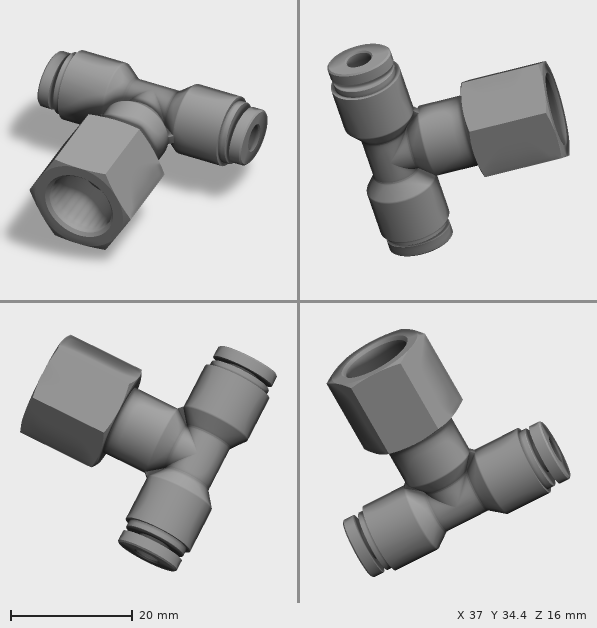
import cadquery as cq
import math


ARM_RADIUS = 5.95
ARM_LENGTH = 14.43
WAIST_RADIUS = 4.0
WAIST_HALF_LENGTH = 3.92
SHOULDER = 6.5
BLEND_RADIUS = 0.48
WEB_THICKNESS = 1.45

RING_DIAMETER = 10.6
RING_WIDTH = 1.22
RING_BORE = 4.18
RING_CHAMFER = 0.07

COLLET_BORE = 4.2
COLLET_NECK_DIAMETER = 5.5
COLLET_GAP = 0.8
COLLET_TIP = 18.5
FLANGE_HEIGHT = 8.77
FLANGE_DEPTH = 10.88
COLLET_CHAMFER = 0.25

NUT_FLATS = 16.0
NUT_LENGTH = 14.05
NUT_CORNERS = NUT_FLATS / math.cos(math.radians(30))
FRONT_CHAMFER_HEIGHT = 0.4
BACK_CHAMFER_HEIGHT = 0.5
SOCKET_MOUTH = 12.35
SOCKET_DIAMETER = 11.3
SOCKET_FLOOR_DIAMETER = 10.7
SOCKET_DEPTH = 11.1
MOUTH_CHAMFER = (SOCKET_MOUTH - SOCKET_DIAMETER) / 2
NUT_HOLE = 3.0

RING_FACE = ARM_LENGTH + RING_WIDTH
FLANGE_BACK = RING_FACE + COLLET_GAP


def make_arm():
    """Arm along +X from the origin, with a rounded cone between waist and barrel."""
    cone_angle = math.atan2(ARM_RADIUS - WAIST_RADIUS, SHOULDER - WAIST_HALF_LENGTH)
    tangent = BLEND_RADIUS * math.tan(cone_angle / 2)
    along = tangent * math.cos(cone_angle)
    outward = tangent * math.sin(cone_angle)
    arc_start_to_middle = BLEND_RADIUS * math.sin(cone_angle / 2)
    arc_middle_height = BLEND_RADIUS * (1 - math.cos(cone_angle / 2))
    waist_end = WAIST_HALF_LENGTH - tangent
    barrel_start = SHOULDER + tangent
    profile = (
        cq.Workplane("XY")
        .lineTo(0, WAIST_RADIUS)
        .lineTo(waist_end, WAIST_RADIUS)
        .threePointArc(
            (waist_end + arc_start_to_middle, WAIST_RADIUS + arc_middle_height),
            (WAIST_HALF_LENGTH + along, WAIST_RADIUS + outward),
        )
        .lineTo(SHOULDER - along, ARM_RADIUS - outward)
        .threePointArc(
            (barrel_start - arc_start_to_middle, ARM_RADIUS - arc_middle_height),
            (barrel_start, ARM_RADIUS),
        )
        .lineTo(ARM_LENGTH, ARM_RADIUS)
        .lineTo(ARM_LENGTH, 0)
        .close()
    )
    return profile.revolve(360, (0, 0, 0), (1, 0, 0)), barrel_start


def make_tee():
    """Three arms, with a web filling each corner between run and stem."""
    arm, barrel_start = make_arm()
    tee = arm
    for angle in (-90, 180):
        tee = tee.union(arm.rotate((0, 0, 0), (0, 0, 1), angle))
    web = (
        cq.Workplane("XY")
        .polyline([
            (0, 0),
            (barrel_start, -ARM_RADIUS),
            (ARM_RADIUS, -barrel_start),
        ])
        .close()
        .extrude(WEB_THICKNESS / 2, both=True)
    )
    return tee.union(web).union(web.mirror("YZ"))


def outer_face(side):
    """Selector for the end face that points away from the tee."""
    return ">X" if side > 0 else "<X"


def run_cylinder(side, diameter, start, end):
    """Cylinder on the run axis between two distances from the stem; side is -1 or +1 along X."""
    return (
        cq.Workplane("YZ", origin=(side * start, 0, 0))
        .circle(diameter / 2)
        .extrude(side * (end - start))
    )


def make_ring(side):
    """Ring on the end of one run arm, with its bore continuing the collet's."""
    blank = run_cylinder(side, RING_DIAMETER, ARM_LENGTH, RING_FACE)
    bore = run_cylinder(side, RING_BORE, ARM_LENGTH, RING_FACE)
    return blank.faces(outer_face(side)).chamfer(RING_CHAMFER).cut(bore)


def make_collet(side):
    """Release collet: a neck standing on the ring, an oval flange and a bore."""
    neck = run_cylinder(side, COLLET_NECK_DIAMETER, RING_FACE, FLANGE_BACK)
    flange = (
        cq.Workplane("YZ", origin=(side * FLANGE_BACK, 0, 0))
        .ellipse(FLANGE_DEPTH / 2, FLANGE_HEIGHT / 2)
        .extrude(side * (COLLET_TIP - FLANGE_BACK))
    )
    bore = run_cylinder(side, COLLET_BORE, RING_FACE, COLLET_TIP)
    return neck.union(flange).cut(bore).faces(outer_face(side)).chamfer(COLLET_CHAMFER)


def make_nut():
    """Hexagonal nut on the stem: chamfered corners, a tapered socket and a hole in its floor."""
    back = -ARM_LENGTH
    front = back - NUT_LENGTH
    flat_radius = NUT_FLATS / 2
    corner_radius = NUT_CORNERS / 2
    hexagon = (
        cq.Workplane("XZ", origin=(0, back, 0))
        .polygon(6, NUT_CORNERS)
        .extrude(NUT_LENGTH)
    )
    chamfer_envelope = (
        cq.Workplane("XY")
        .polyline([
            (0, back),
            (flat_radius, back),
            (corner_radius, back - BACK_CHAMFER_HEIGHT),
            (corner_radius, front + FRONT_CHAMFER_HEIGHT),
            (flat_radius, front),
            (0, front),
        ])
        .close()
        .revolve(360, (0, 0, 0), (0, 1, 0))
    )
    floor = front + SOCKET_DEPTH
    socket = (
        cq.Workplane("XY")
        .polyline([
            (0, front),
            (SOCKET_MOUTH / 2, front),
            (SOCKET_DIAMETER / 2, front + MOUTH_CHAMFER),
            (SOCKET_FLOOR_DIAMETER / 2, floor),
            (NUT_HOLE / 2, floor),
            (NUT_HOLE / 2, back),
            (0, back),
        ])
        .close()
        .revolve(360, (0, 0, 0), (0, 1, 0))
    )
    return hexagon.intersect(chamfer_envelope).cut(socket)


tee = make_tee()
nut = make_nut()
rings = [make_ring(side) for side in (-1, 1)]
collets = [make_collet(side) for side in (-1, 1)]

result = cq.Compound.makeCompound(
    [tee.val(), nut.val()]
    + [ring.val() for ring in rings]
    + [collet.val() for collet in collets]
)